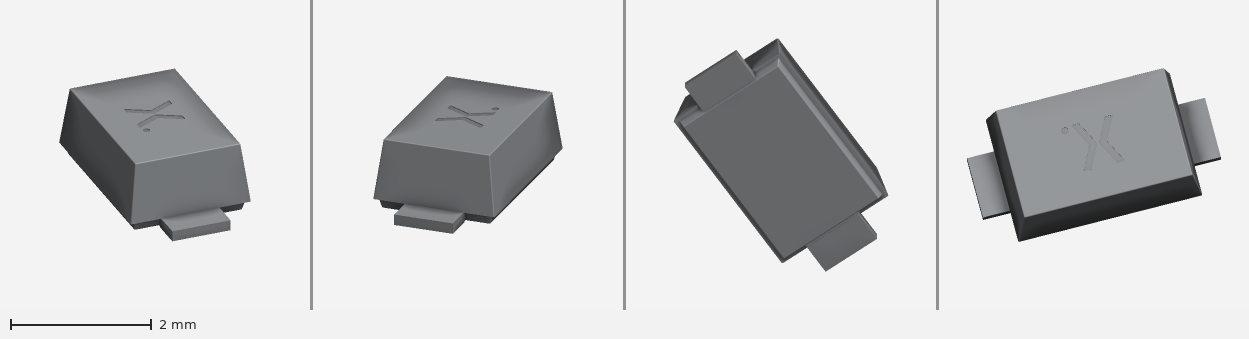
import cadquery as cq

total_length = 3.5
total_height = 1.07

cap_length = 2.71
cap_width = 1.85
cap_inset = 0.115
ledge_height = 0.17
ledge_width = 0.06
base_inset = 0.04
standoff = 0.015
edge_radius = 0.018

lead_width = 0.895
lead_thickness = 0.16

mark_center_x = -0.055
mark_center_y = 0.018
chevron_half_height = 0.35
chevron_arm_width = 0.12
chevron_arm_run = 0.182
chevron_tip = 0.01
chevron_tip_radius = 0.052
chevron_corner_radius = 0.015
dot_x = 0.357
dot_y = -0.275
dot_radius = 0.052
inlay_depth = 0.015
inlay_thickness = 0.015

base_length = cap_length - 2 * ledge_width
base_width = cap_width - 2 * ledge_width
base_bottom_length = base_length - 2 * base_inset
inlay_top = total_height - inlay_depth
inlay_bottom = inlay_top - inlay_thickness


def tapered_block(length, width, start_height, end_height, inset):
    """Block with rounded edges whose four sides lean in from start to end height."""
    block = (
        cq.Workplane("XY", origin=(0, 0, start_height))
        .rect(length, width)
        .workplane(offset=end_height - start_height)
        .rect(length - 2 * inset, width - 2 * inset)
        .loft(ruled=True)
    )
    narrow_end = ">Z" if end_height > start_height else "<Z"
    corner_edges = block.edges("not #Z")
    return corner_edges.add(block.faces(narrow_end).edges()).fillet(edge_radius)


def make_lead(side):
    """Flat lead at one end (side is -1 or 1), with a thinner tongue let into the base."""
    outer_end = side * total_length / 2
    shoulder = side * base_length / 2
    tongue_end = side * base_bottom_length / 2
    return (
        cq.Workplane("XZ", origin=(0, lead_width / 2, 0))
        .moveTo(outer_end, 0)
        .lineTo(outer_end, lead_thickness)
        .lineTo(tongue_end, lead_thickness)
        .lineTo(tongue_end, standoff)
        .lineTo(shoulder, standoff)
        .lineTo(shoulder, 0)
        .close()
        .extrude(lead_width)
    )


def chevron_prism(side, bottom, height):
    """One half of the X mark, with its tip towards the mark's centre."""
    tip = side * chevron_tip
    notch = side * (chevron_tip + chevron_arm_width)
    run = side * chevron_arm_run
    prism = (
        cq.Workplane("XY", origin=(mark_center_x, mark_center_y, bottom))
        .moveTo(tip, 0)
        .lineTo(tip + run, chevron_half_height)
        .lineTo(notch + run, chevron_half_height)
        .lineTo(notch, 0)
        .lineTo(notch + run, -chevron_half_height)
        .lineTo(tip + run, -chevron_half_height)
        .close()
        .extrude(height)
    )
    prism = prism.edges("|Z and (>Y or <Y)").fillet(chevron_corner_radius)
    tip_edge = "<X" if side > 0 else ">X"
    return prism.edges("|Z").edges(tip_edge).fillet(chevron_tip_radius)


def dot_prism(bottom, height):
    """Round dot beside the X mark."""
    return cq.Workplane("XY", origin=(dot_x, dot_y, bottom)).circle(dot_radius).extrude(height)


def mark_prisms(height):
    """Both chevrons and the dot, standing on the floor of the marking recesses."""
    chevrons = [chevron_prism(side, inlay_bottom, height) for side in (-1, 1)]
    return chevrons + [dot_prism(inlay_bottom, height)]


def make_housing(leads):
    """Cap and base in one piece, recessed for the leads and the marking."""
    cap = tapered_block(cap_length, cap_width, ledge_height, total_height, cap_inset)
    base = tapered_block(base_length, base_width, ledge_height, standoff, base_inset)
    housing = cap.union(base)
    for tool in leads + mark_prisms(total_height - inlay_bottom):
        housing = housing.cut(tool)
    return housing


leads = [make_lead(side) for side in (-1, 1)]
inlays = mark_prisms(inlay_thickness)
housing = make_housing(leads)

result = cq.Compound.makeCompound([body.val() for body in [housing] + leads + inlays])